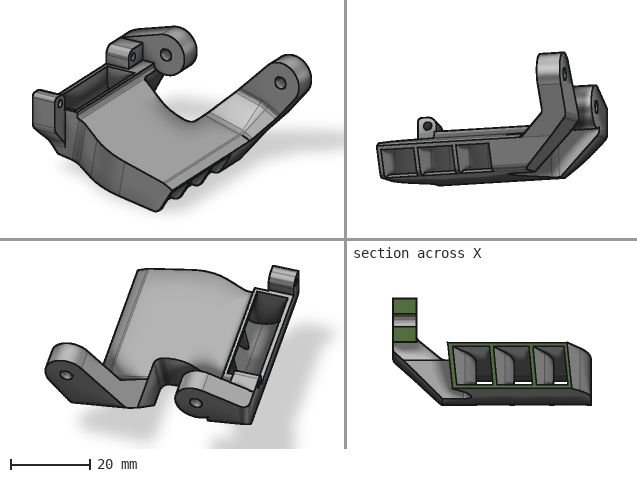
import cadquery as cq
import math

length = 53.0
depth = 50.0
reach = 106.0
pick_margin = 0.05
wall = 1.0
blend = 2.0

hinge_radius = 5.5
hinge_bore = 3.2
hinge_z = 21.4
hinge_thickness = 6.0
hinge_spacing = 33.95
rear_hinge = (length - hinge_radius, hinge_z)
front_hinge = (rear_hinge[0] - hinge_spacing, hinge_z)
hinge_y = depth - hinge_thickness

floor_angle = math.radians(10)
roof_angle = math.radians(15.7)
nozzle_angle = math.radians(30)
belly_corner = (0, 11.25)
belly_radius = 10.0
heel = (4.4, 5.8)
toe_x = 38.35
lip = (42.7, 6.95)
bend = (40.05, 8.4)
bend_radius = 2.1
rim_z = 18.45
rim_x = 10.1
rim_blend = 1.0

sway = 7.0
outlet_width = 30.2
air_width = 27.95
sway_start = 8.95
sway_end = 20.45
sway_start_radius = 5.0
sway_end_radius = 20.0
notch_end_radius = 16.45
bracket_edge = 7.65
arm_tilt = math.radians(45)

arm_foot_y = 37.4
arm_underside_y = 37.5
bracket_underside_y = 39.55
bracket_top_z = 23.15

pocket_x = (1.15, 9.2)
pocket_floor_radius = 8.0
pocket_roof_blend = 1.75
outlet_sill_x = 36.5
vane_pitch = 9.95
vane_nose_x = 8.4
vane_sway = 6.45
vane_count = 2

tab_length = 6.6
tab_bore = 2.0
tab_bore_z = 20.95
tab_bore_y = (4.5, 39.45)
tab_radius = bracket_top_z - tab_bore_z
tab_y = 1.95
tab_corner_radius = 1.05
tab_underside_radius = 2.5
tab_underside_z = 14.1


def roof_z(x):
    """Height of the duct roof above a position along X."""
    return bend[1] + (bend[0] - x) * math.tan(roof_angle)


def floor_z(x):
    """Height of the duct floor at a position along X."""
    return heel[1] + (heel[0] - x) * math.tan(floor_angle)


def tilted_x(point):
    """Position of an XZ point measured along the tilted duct floor."""
    return point[0] * math.cos(floor_angle) - point[1] * math.sin(floor_angle)


def tangent_point(center, radius, point, side):
    """Point where a line from an outside point touches a circle, on its left (side +1) or right (side -1)."""
    dx, dz = center[0] - point[0], center[1] - point[1]
    distance = math.hypot(dx, dz)
    direction = math.atan2(dz, dx) + side * math.asin(radius / distance)
    run = math.sqrt(distance**2 - radius**2)
    return (point[0] + run * math.cos(direction), point[1] + run * math.sin(direction))


def rounded(points, radii):
    """Closed sketch through the points; radii maps the index of a corner to its fillet radius."""
    sketch = cq.Sketch().polygon(points + points[:1])
    for index, radius in radii.items():
        x, y = points[index]
        low = (x - pick_margin, y - pick_margin, -pick_margin)
        high = (x + pick_margin, y + pick_margin, pick_margin)
        corner = cq.selectors.BoxSelector(low, high)
        sketch = sketch.reset().vertices(corner).fillet(radius)
    return sketch.reset()


def side_prism(sketch, y_from, y_to):
    """Solid with an XZ sketch between two Y positions."""
    return cq.Workplane("XZ", origin=(0, y_from, 0)).placeSketch(sketch).extrude(y_from - y_to)


def tilted_prism(sketch):
    """Solid with an outline drawn on the tilted floor, upright to that floor."""
    plane = cq.Plane(
        origin=(0, 0, 0),
        xDir=(math.cos(floor_angle), 0, -math.sin(floor_angle)),
        normal=(math.sin(floor_angle), 0, math.cos(floor_angle)),
    )
    return cq.Workplane(plane).placeSketch(sketch).extrude(reach / 2, both=True)


toe = (toe_x, floor_z(toe_x))

arm_left_top = (
    rear_hinge[0] - hinge_radius * math.sin(arm_tilt),
    rear_hinge[1] + hinge_radius * math.cos(arm_tilt),
)
arm_left_x = (roof_z(0) + arm_left_top[0] * math.tan(arm_tilt) - arm_left_top[1]) / (
    math.tan(arm_tilt) + math.tan(roof_angle)
)
arm_left_foot = (arm_left_x, roof_z(arm_left_x))
arm_edge = tilted_x(arm_left_foot)


def body_profile(top):
    """Side profile of the duct and the bracket, whose flat top has the given height."""
    points = [(0, top), belly_corner, heel, toe, lip, bend, (rim_x, roof_z(rim_x)), (rim_x, top)]
    return rounded(points, {1: belly_radius, 3: blend, 5: bend_radius, 6: rim_blend})


def duct_outline():
    """Tilted outline: S-shaped sides, a notch, and strips on both sides of the notch."""
    notch_rise = sway * (sway_end - bracket_edge) / (sway_end - sway_start)
    points = [
        (-reach, sway), (sway_start, sway), (sway_end, 0), (reach, 0), (reach, depth),
        (arm_edge, depth), (arm_edge, outlet_width), (sway_end, outlet_width),
        (bracket_edge, outlet_width + notch_rise), (bracket_edge, depth), (-reach, depth),
    ]
    return rounded(
        points,
        {1: sway_start_radius, 2: sway_end_radius, 6: blend, 7: notch_end_radius, 8: blend},
    )


def air_outline():
    """Tilted outline of the air space, which follows the S of the duct."""
    near, far = wall, wall + air_width
    points = [
        (-reach, near + sway), (sway_start, near + sway), (sway_end, near), (reach, near),
        (reach, far), (sway_end, far), (sway_start, far + sway), (-reach, far + sway),
    ]
    radii = {1: sway_start_radius, 2: sway_end_radius, 5: sway_end_radius, 6: sway_start_radius}
    return rounded(points, radii)


def vane_outline(y):
    """Tilted outline of a vane with a round nose; y is its middle at the outlet."""
    slope = math.atan2(vane_sway, sway_end - vane_nose_x)
    half = wall / 2
    nose = (vane_nose_x, y + vane_sway)
    side = (half * math.sin(slope), half * math.cos(slope))
    bend_shift = half * math.tan(slope / 2)
    points = [
        (nose[0] - side[0], nose[1] - side[1]), (sway_end - bend_shift, y - half), (reach, y - half),
        (reach, y + half), (sway_end + bend_shift, y + half), (nose[0] + side[0], nose[1] + side[1]),
    ]
    outline = rounded(points, {1: sway_end_radius - half, 4: sway_end_radius + half})
    return outline.push([nose]).circle(half).reset()


def shifted_bend(offset):
    """Bend of the roof when both slopes move outwards by an offset."""
    half_turn = (nozzle_angle - roof_angle) / 2
    middle_angle = (nozzle_angle + roof_angle) / 2
    shift = offset / math.cos(half_turn)
    return (bend[0] + shift * math.sin(middle_angle), bend[1] + shift * math.cos(middle_angle))


def underside_cut(start_y, x_from, x_to):
    """Wedge below a 45 degree plane that leaves the duct floor at start_y and rises towards +Y."""
    plane = cq.Plane(
        origin=(heel[0], 0, heel[1]),
        xDir=(0, 1, 0),
        normal=(math.cos(floor_angle), 0, -math.sin(floor_angle)),
    )
    start = tilted_x(heel)
    wedge = [
        (start_y, 0), (depth, depth - start_y), (depth, reach),
        (reach, reach), (reach, -reach), (start_y, -reach),
    ]
    section = cq.Workplane(plane).workplane(offset=x_from - start)
    return section.placeSketch(rounded(wedge, {1: blend})).extrude(x_to - x_from)


def ridge_wire(y, offset):
    """Outline of everything below the roof and nozzle slope, grown outwards by an offset."""
    half_turn = (nozzle_angle - roof_angle) / 2
    middle_angle = (nozzle_angle + roof_angle) / 2
    radius = bend_radius + offset
    corner_x, corner_z = shifted_bend(offset)

    def along(direction, distance):
        return (corner_x + distance * math.cos(direction), corner_z + distance * math.sin(direction))

    back, ahead = math.pi - roof_angle, -nozzle_angle
    setback = radius * math.tan(half_turn)
    crown_depth = radius / math.cos(half_turn) - radius
    crown = along(-middle_angle - math.pi / 2, crown_depth)
    plane = cq.Workplane("XZ", origin=(0, y, 0))
    outline = plane.moveTo(*along(back, length)).lineTo(*along(back, setback))
    outline = outline.threePointArc(crown, along(ahead, setback)).lineTo(*along(ahead, length))
    return outline.lineTo(length, -length).lineTo(0, -length).close().val()


def arm_envelope():
    """Space below the roof, the 45 degree inner slope of the arm and, beyond it, the hinge face."""
    rise = hinge_y - arm_foot_y
    crease_low_z = -length / 4
    foot_wire = ridge_wire(arm_foot_y, 0)
    roof_block = cq.Workplane(cq.Solid.extrudeLinear(foot_wire, [], cq.Vector(0, -arm_foot_y, 0)))
    slope = cq.Workplane(cq.Solid.makeLoft([foot_wire, ridge_wire(hinge_y, rise)], True))
    plate = cq.Workplane("XY").box(3 * reach, hinge_thickness, 2 * reach, centered=(True, False, True))
    envelope = roof_block.union(slope).union(plate.translate((0, hinge_y, 0)))
    for y in (arm_foot_y, hinge_y):
        low = (0, y - pick_margin, crease_low_z)
        high = (reach, y + pick_margin, length)
        envelope = envelope.edges(cq.selectors.BoxSelector(low, high)).fillet(blend)
    return envelope


def rear_arm():
    """Arm that rises from the roof and ends in the rear hinge."""
    tip = tangent_point(rear_hinge, hinge_radius, lip, -1)
    web = cq.Sketch().polygon([arm_left_foot, arm_left_top, rear_hinge, tip, lip, arm_left_foot])
    arm = side_prism(web, arm_foot_y - blend, depth).union(hinge_disc(rear_hinge))
    return arm.intersect(arm_envelope())


def hinge_disc(center):
    """Round end of a hinge plate."""
    return side_prism(cq.Sketch().push([center]).circle(hinge_radius), hinge_y, depth)


def front_bracket():
    """Hinge plate that reaches from the bracket's outer face to the front hinge."""
    top = (0, bracket_top_z)
    touch = tangent_point(front_hinge, hinge_radius, top, 1)
    web = cq.Sketch().polygon([top, touch, front_hinge, (rim_x, rim_z), (0, rim_z), top])
    return side_prism(web, hinge_y, depth).union(hinge_disc(front_hinge))


def tabs():
    """Two screw tabs above the rim; the outer one is carried by a 45 degree underside."""
    near, far = tab_bore_y
    underside_drop = sway - tab_y
    near_points = [
        (tab_y, bracket_top_z), (tab_y, tab_underside_z), (sway, tab_underside_z - underside_drop),
        (sway, 0), (sway + wall, 0), (sway + wall, rim_z), (near + tab_radius, rim_z),
        (near + tab_radius, bracket_top_z),
    ]
    near_radii = {0: tab_corner_radius, 1: tab_underside_radius, 2: tab_underside_radius, 7: tab_radius}
    far_points = [
        (far - tab_radius, bracket_top_z), (far - tab_radius, rim_z),
        (hinge_y, rim_z), (hinge_y, bracket_top_z),
    ]
    both = cq.Workplane("YZ").placeSketch(rounded(near_points, near_radii)).extrude(tab_length)
    both = both.union(
        cq.Workplane("YZ").placeSketch(rounded(far_points, {0: tab_radius})).extrude(tab_length)
    )
    return both.intersect(side_prism(body_profile(bracket_top_z), 0, depth))


def duct_space():
    """Air space from the open inlet pocket to the outlet, divided by the vanes."""
    left, right = pocket_x
    inner_drop = wall / math.cos(floor_angle)
    roof_drop = wall / math.cos(roof_angle)
    sill_kink = outlet_sill_x - inner_drop / (math.tan(nozzle_angle) - math.tan(floor_angle))
    inner_bend = shifted_bend(-wall)

    def beyond(point):
        return (length, point[1] - (length - point[0]) * math.tan(nozzle_angle))

    kink = (sill_kink, floor_z(sill_kink) + inner_drop)
    points = [
        (left, depth), (left, floor_z(left) + inner_drop), kink, beyond(kink), beyond(inner_bend),
        inner_bend, (right, roof_z(right) - roof_drop), (right, depth),
    ]
    profile = rounded(points, {1: pocket_floor_radius, 6: pocket_roof_blend})
    space = side_prism(profile, 0, depth).intersect(tilted_prism(air_outline()))
    for number in range(1, vane_count + 1):
        space = space.cut(tilted_prism(vane_outline(number * vane_pitch)))
    return space


def bores():
    """Hinge bores along Y and tab bores along X."""
    hinges = cq.Workplane("XZ", origin=(0, depth, 0)).pushPoints([front_hinge, rear_hinge])
    screws = cq.Workplane("YZ").pushPoints([(y, tab_bore_z) for y in tab_bore_y])
    hinge_bores = hinges.circle(hinge_bore / 2).extrude(hinge_thickness)
    return hinge_bores.union(screws.circle(tab_bore / 2).extrude(tab_length))


def outer_limits():
    """Bounding block with the rounded upright corner of the front bracket."""
    block = cq.Workplane("XY").box(length, depth, reach, centered=(False, False, True))
    return block.edges("|Z and <X and >Y").fillet(blend)


notch_middle = (bracket_edge + arm_edge) / 2
result = side_prism(body_profile(rim_z), 0, depth).union(rear_arm())
result = result.intersect(tilted_prism(duct_outline()))
result = result.union(front_bracket())
result = result.cut(underside_cut(bracket_underside_y, -reach, notch_middle))
result = result.cut(underside_cut(arm_underside_y, notch_middle, reach))
result = result.union(tabs()).intersect(outer_limits())
result = result.cut(duct_space()).cut(bores())